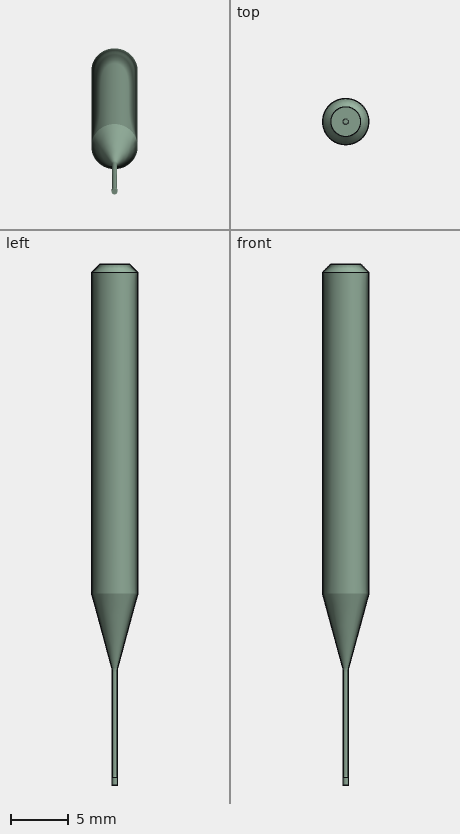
import cadquery as cq

total_length = 45.0
shank_radius = 4.0 / 2
top_chamfer = 0.7

head_length = 0.68
neck_step_end = 0.8
neck_end = 9.8
shank_start = 16.5

head_radius = 0.5 / 2
neck_radius = 0.45 / 2
neck_flare_height = 0.25


def make_cutting_head():
    """Plain cylindrical cutting head at the tip of the tool."""
    return cq.Workplane("XY").circle(head_radius).extrude(head_length)


def make_holder():
    """Relieved neck, taper and chamfered shank, revolved about the Z axis."""
    profile = [
        (0, head_length),
        (head_radius, head_length),
        (neck_radius, neck_step_end),
        (neck_radius, neck_end),
        (head_radius, neck_end + neck_flare_height),
        (shank_radius, shank_start),
        (shank_radius, total_length - top_chamfer),
        (shank_radius - top_chamfer, total_length),
        (0, total_length),
    ]
    return cq.Workplane("XZ").polyline(profile).close().revolve(360, (0, 0), (0, 1))


cutting_head = make_cutting_head()
holder = make_holder()

result = cq.Compound.makeCompound([cutting_head.val(), holder.val()])